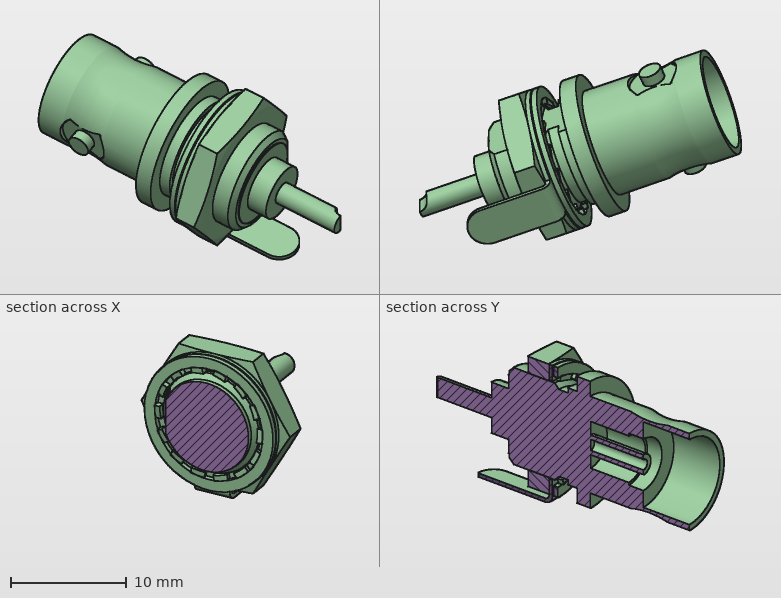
import cadquery as cq
import math


total_length = 28.0
shell_dia = 9.5
waist_dia = 9.0
waist_start_x = 2.45
waist_end_x = 6.5
waist_land = 0.17
flange_start_x = 10.98
flange_end_x = 12.5
flange_dia = 12.4
neck_start_x = 13.5
neck_end_x = 14.45
neck_dia = 8.55
thread_chamfer = 0.5
thread_end_x = 20.0
thread_flat_y = 3.95
rear_disc_dia = 7.7
rear_disc_end_x = 20.08
boss_dia = 5.0
boss_end_x = 21.95

bore_dia = 8.3
bore_depth = 5.1
recess_dia = 5.0
recess_end_x = 6.72
inner_recess_dia = 4.5
inner_recess_end_x = 10.95
contact_dia = 2.0
contact_hole_dia = 1.0

tail_scoop_radius = contact_dia / 2

stud_dia = 2.0
stud_span = 10.58
stud_root = 0.15
stud_pad_dia = 4.5
stud_pad_y = 4.3

lock_start_x = 14.55
lock_thickness = 0.5
lock_outer_dia = 12.7
lock_ring_bore = 10.65
lock_bore = 9.6
tooth_count = 14
tooth_width = 1.3
tooth_twist = -10.0
tooth_phase = 38.5

lug_start_x = 15.18
lug_thickness = 0.42
lug_bore = 9.6
lug_outer_dia = 12.7
lug_width = 3.5
lug_bottom_z = -7.25
lug_bend_radius = 0.4
lug_tip_x = 23.45

nut_start_x = lug_start_x + lug_thickness
nut_end_x = 17.92
nut_across_flats = 12.7
nut_chamfer = 0.22

waist_middle_x = (waist_start_x + waist_end_x) / 2
nut_across_corners = nut_across_flats / math.cos(math.radians(30))


def cylinder(diameter, start_x, end_x):
    """Solid cylinder on the connector axis."""
    return cq.Workplane("YZ", origin=(start_x, 0, 0)).circle(diameter / 2).extrude(end_x - start_x)


def ring(outer_dia, inner_dia, start_x, end_x):
    """Plain ring on the connector axis."""
    return cylinder(outer_dia, start_x, end_x).cut(cylinder(inner_dia, start_x, end_x))


def waist_arc_middle(shell_edge_x, land_edge_x):
    """Middle point of the arc from the shell surface that levels out at the waist land."""
    shell_radius = shell_dia / 2
    waist_radius = waist_dia / 2
    length = shell_edge_x - land_edge_x
    rise = shell_radius - waist_radius
    arc_radius = (length**2 + rise**2) / (2 * rise)
    half_angle = math.asin(abs(length) / arc_radius) / 2
    return (
        land_edge_x + math.copysign(arc_radius * math.sin(half_angle), length),
        waist_radius + arc_radius * (1 - math.cos(half_angle)),
    )


def shell_blank():
    """Turned outside of the shell with its concave waist, flange, neck and thread."""
    shell_radius = shell_dia / 2
    waist_radius = waist_dia / 2
    flange_radius = flange_dia / 2
    neck_radius = neck_dia / 2
    thread_start_x = neck_end_x + shell_radius - neck_radius
    land_start_x = waist_middle_x - waist_land / 2
    land_end_x = waist_middle_x + waist_land / 2
    profile = (
        cq.Workplane("XY")
        .lineTo(0, shell_radius)
        .lineTo(waist_start_x, shell_radius)
        .threePointArc(waist_arc_middle(waist_start_x, land_start_x), (land_start_x, waist_radius))
        .lineTo(land_end_x, waist_radius)
        .threePointArc(waist_arc_middle(waist_end_x, land_end_x), (waist_end_x, shell_radius))
        .lineTo(flange_start_x, shell_radius)
        .lineTo(flange_start_x, flange_radius)
        .lineTo(flange_end_x, flange_radius)
        .lineTo(flange_end_x, shell_radius)
        .lineTo(neck_start_x, shell_radius)
        .lineTo(neck_start_x, neck_radius)
        .lineTo(neck_end_x, neck_radius)
        .lineTo(thread_start_x, shell_radius)
        .lineTo(thread_end_x - thread_chamfer, shell_radius)
        .lineTo(thread_end_x, shell_radius - thread_chamfer)
        .lineTo(thread_end_x, 0)
        .close()
    )
    return profile.revolve(360, (0, 0, 0), (1, 0, 0))


def thread_flat():
    """Material removed from the +Y side behind the flange to leave a D section."""
    length = thread_end_x - flange_end_x
    block = cq.Workplane("XY").box(length, shell_dia, shell_dia, centered=(False, False, True))
    return block.translate((flange_end_x, thread_flat_y, 0))


def socket():
    """Stepped mating socket."""
    bore = cylinder(bore_dia, 0, bore_depth)
    recess = cylinder(recess_dia, bore_depth, recess_end_x)
    inner_recess = cylinder(inner_recess_dia, recess_end_x, inner_recess_end_x)
    return bore.union(recess).union(inner_recess)


def contact():
    """Hollow front end of the centre contact, standing on the socket floor."""
    return ring(contact_dia, contact_hole_dia, bore_depth, inner_recess_end_x)


def tail():
    """Rear end of the centre contact, with one side of its tip scooped away."""
    scoop = (
        cq.Workplane("XY", origin=(total_length, tail_scoop_radius, 0))
        .circle(tail_scoop_radius)
        .extrude(contact_dia, both=True)
    )
    return cylinder(contact_dia, boss_end_x, total_length).cut(scoop)


def stud(side):
    """Bayonet stud on the +Y (side = 1) or -Y (side = -1) side."""
    root_y = stud_pad_y - stud_root
    plane = cq.Plane(origin=(waist_middle_x, side * root_y, 0), xDir=(1, 0, 0), normal=(0, side, 0))
    return cq.Workplane(plane).circle(stud_dia / 2).extrude(stud_span / 2 - root_y)


def stud_pad(side):
    """Round spotface around a stud."""
    plane = cq.Plane(
        origin=(waist_middle_x, side * stud_pad_y, 0), xDir=(1, 0, 0), normal=(0, side, 0)
    )
    return cq.Workplane(plane).circle(stud_pad_dia / 2).extrude(shell_dia / 2)


def make_connector():
    """Shell, bayonet studs and centre contact as one solid."""
    connector = shell_blank().cut(thread_flat()).cut(socket()).union(contact())
    for side in (-1, 1):
        connector = connector.cut(stud_pad(side)).union(stud(side))
    connector = connector.union(cylinder(rear_disc_dia, thread_end_x, rear_disc_end_x))
    connector = connector.union(cylinder(boss_dia, rear_disc_end_x, boss_end_x))
    return connector.union(tail())


def make_lock_washer():
    """Flat ring with twisted teeth pointing inwards."""
    middle_x = lock_start_x + lock_thickness / 2
    tooth = (
        cq.Workplane("XY")
        .box(lock_thickness, tooth_width, lock_outer_dia / 2, centered=(True, True, False))
        .rotate((0, 0, 0), (0, 0, 1), tooth_twist)
        .translate((middle_x, 0, 0))
    )
    washer = ring(lock_outer_dia, lock_ring_bore, lock_start_x, lock_start_x + lock_thickness)
    tooth_zone = ring(lock_ring_bore, lock_bore, middle_x - tooth_width, middle_x + tooth_width)
    tooth = tooth.intersect(tooth_zone)
    for index in range(tooth_count):
        angle = tooth_phase + index * 360 / tooth_count
        washer = washer.union(tooth.rotate((0, 0, 0), (1, 0, 0), angle))
    return washer


def make_solder_lug():
    """Flat ring with a tab bent rearwards and rounded at its tip."""
    back_x = lug_start_x + lug_thickness
    outer_bend = lug_bend_radius + lug_thickness
    bend_x = lug_start_x + outer_bend
    bend_z = lug_bottom_z + outer_bend
    ring_middle_radius = (lug_bore + lug_outer_dia) / 4
    top_z = -ring_middle_radius
    diagonal = math.sqrt(0.5)
    tab = (
        cq.Workplane("XZ")
        .moveTo(lug_start_x, top_z)
        .lineTo(lug_start_x, bend_z)
        .threePointArc(
            (bend_x - outer_bend * diagonal, bend_z - outer_bend * diagonal), (bend_x, lug_bottom_z)
        )
        .lineTo(lug_tip_x, lug_bottom_z)
        .lineTo(lug_tip_x, lug_bottom_z + lug_thickness)
        .lineTo(bend_x, lug_bottom_z + lug_thickness)
        .threePointArc(
            (bend_x - lug_bend_radius * diagonal, bend_z - lug_bend_radius * diagonal),
            (back_x, bend_z),
        )
        .lineTo(back_x, top_z)
        .close()
        .extrude(lug_width / 2, both=True)
    )
    tip_radius = lug_width / 2
    plan = (
        cq.Workplane("XY")
        .moveTo(lug_start_x, -tip_radius)
        .lineTo(lug_tip_x - tip_radius, -tip_radius)
        .threePointArc((lug_tip_x, 0), (lug_tip_x - tip_radius, tip_radius))
        .lineTo(lug_start_x, tip_radius)
        .close()
        .extrude(lug_bottom_z)
    )
    return ring(lug_outer_dia, lug_bore, lug_start_x, back_x).union(tab.intersect(plan))


def make_nut():
    """Hex nut, corners on +Y and -Y, with both faces chamfered."""
    face_radius = nut_across_flats / 2
    corner_radius = nut_across_corners / 2
    hexagon = (
        cq.Workplane("YZ", origin=(nut_start_x, 0, 0))
        .polygon(6, nut_across_corners)
        .extrude(nut_end_x - nut_start_x)
    )
    chamfered_round = (
        cq.Workplane("XY")
        .moveTo(nut_start_x, 0)
        .lineTo(nut_start_x, face_radius)
        .lineTo(nut_start_x + nut_chamfer, corner_radius)
        .lineTo(nut_end_x - nut_chamfer, corner_radius)
        .lineTo(nut_end_x, face_radius)
        .lineTo(nut_end_x, 0)
        .close()
        .revolve(360, (0, 0, 0), (1, 0, 0))
    )
    return hexagon.intersect(chamfered_round).cut(cylinder(shell_dia, nut_start_x, nut_end_x))


connector = make_connector()
lock_washer = make_lock_washer()
solder_lug = make_solder_lug()
nut = make_nut()

result = cq.Compound.makeCompound(
    [connector.val(), lock_washer.val(), solder_lug.val(), nut.val()]
)